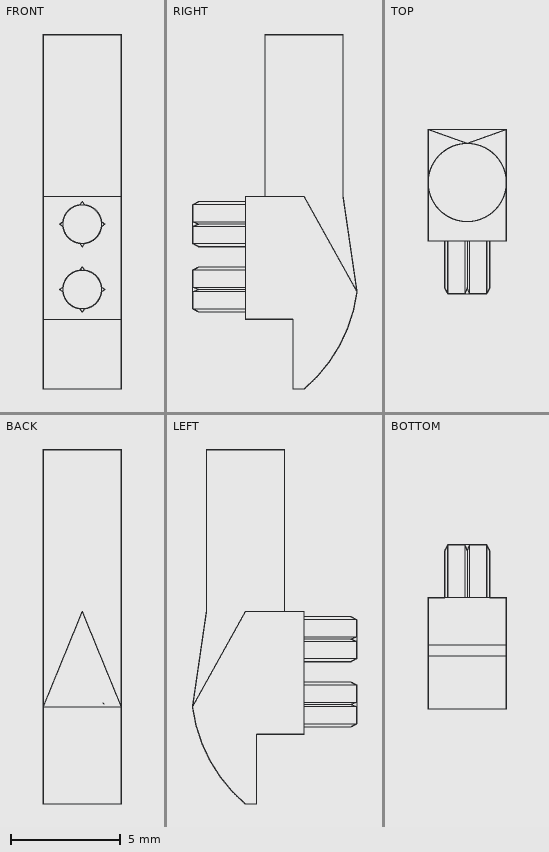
import cadquery as cq
import math

width = 3.556
block_depth = 5.08
block_height = 5.588

shaft_radius = width / 2
shaft_height = 7.366
shaft_setback = 0.889
shaft_y = shaft_setback + shaft_radius

heel_height = 3.175
heel_front_y = 2.159
heel_tip_y = 2.667
heel_z = -(block_height + heel_height)
back_edge_z = -4.343
back_arc_bulge = 0.47

pin_radius = 0.889
pin_end_radius = 0.876
pin_length = 2.413
upper_pin_z = -1.257
pin_spacing = 2.972
pin_count = 2
rib_count = 4
rib_tip_radius = 1.03
rib_half_width = 0.1
rib_taper_length = 0.29


def make_body():
    """Side profile of block, sloped back and heel, extruded across the width."""
    chord_y = heel_tip_y - block_depth
    chord_z = heel_z - back_edge_z
    chord = math.hypot(chord_y, chord_z)
    arc_mid = (
        (block_depth + heel_tip_y) / 2 - back_arc_bulge * chord_z / chord,
        (back_edge_z + heel_z) / 2 + back_arc_bulge * chord_y / chord,
    )
    return (
        cq.Workplane("YZ", origin=(-width / 2, 0, 0))
        .moveTo(0, 0)
        .lineTo(shaft_y, 0)
        .lineTo(block_depth, back_edge_z)
        .threePointArc(arc_mid, (heel_tip_y, heel_z))
        .lineTo(heel_front_y, heel_z)
        .lineTo(heel_front_y, -block_height)
        .lineTo(0, -block_height)
        .close()
        .extrude(width)
    )


def make_shaft():
    return cq.Workplane("XY").center(0, shaft_y).circle(shaft_radius).extrude(shaft_height)


def make_corner_cone(side):
    """Oblique quarter cone from the shaft's rim down to one back corner."""
    rim_outline = (
        cq.Workplane("XY")
        .moveTo(0, shaft_y)
        .lineTo(side * shaft_radius, shaft_y)
        .radiusArc((0, shaft_y + shaft_radius), -side * shaft_radius)
        .close()
    )
    quarter_disc = cq.Face.makeFromWires(rim_outline.val())
    corner = cq.Vertex.makeVertex(side * width / 2, block_depth, back_edge_z)
    return cq.Workplane(cq.occ_impl.shapes.loft(corner, quarter_disc, cap=True, ruled=True))


def make_back_facet():
    """Tetrahedron that fills the flat triangle between the corner cones."""
    back_corners = [(side * width / 2, block_depth, back_edge_z) for side in (-1, 1)]
    center = (0, shaft_y, 0)
    rim_back = (0, shaft_y + shaft_radius, 0)
    points = [center, rim_back] + back_corners
    faces = []
    for skipped in points:
        corners = [cq.Vector(*point) for point in points if point != skipped]
        faces.append(cq.Face.makeFromWires(cq.Wire.makePolygon(corners, close=True)))
    return cq.Workplane(cq.Solid.makeSolid(cq.Shell.makeShell(faces)))


def make_pin():
    """Pin along -Y from the origin, with V-shaped ribs tapering at the free end."""
    pin = cq.Workplane("XZ").circle(pin_radius).extrude(pin_length)
    rib = (
        cq.Workplane("XZ")
        .lineTo(pin_radius, -rib_half_width)
        .lineTo(rib_tip_radius, 0)
        .lineTo(pin_radius, rib_half_width)
        .close()
        .extrude(pin_length)
    )
    for index in range(rib_count):
        pin = pin.union(rib.rotate((0, 0, 0), (0, 1, 0), index * 360 / rib_count))
    envelope = (
        cq.Workplane("XY")
        .moveTo(0, 0)
        .lineTo(rib_tip_radius, 0)
        .lineTo(rib_tip_radius, rib_taper_length - pin_length)
        .lineTo(pin_end_radius, -pin_length)
        .lineTo(0, -pin_length)
        .close()
        .revolve(360, (0, 0, 0), (0, 1, 0))
    )
    return pin.intersect(envelope)


result = make_body().union(make_shaft()).union(make_back_facet())
for side in (-1, 1):
    result = result.union(make_corner_cone(side))
for index in range(pin_count):
    pin_z = upper_pin_z - index * pin_spacing
    result = result.union(make_pin().translate((0, 0, pin_z)))